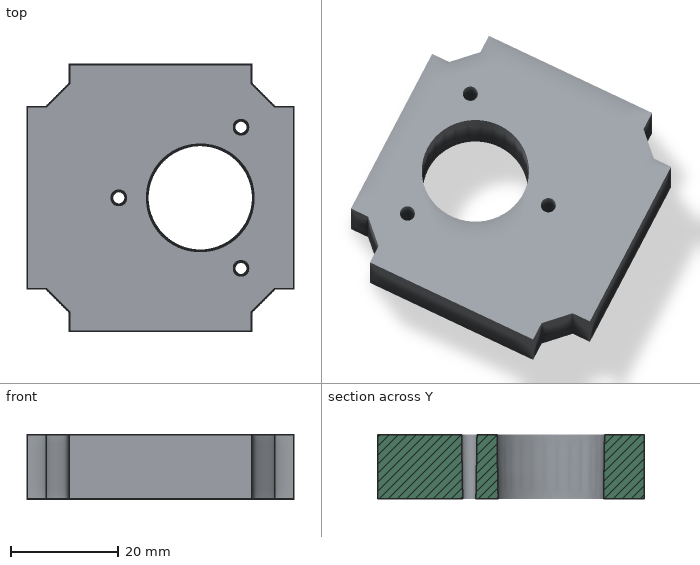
import cadquery as cq
import math

plate_width = 49.8
plate_thickness = 12.0
flat_width = 34.0
notch_step = 3.58

hole_taper = 1.0
bore_top_diameter = 20.0
bore_offset_x = 7.42
screw_top_diameter = 2.8
screw_circle_radius = 15.2
screw_count = 3
first_screw_angle = 180.0


def notched_plate():
    """Square plate, centred on the origin, with a bevelled notch in each corner."""
    edge = plate_width / 2
    flat_end = flat_width / 2
    bevel_end = edge - notch_step
    corner = [
        (edge, edge),
        (flat_end, edge),
        (flat_end, bevel_end),
        (bevel_end, flat_end),
        (edge, flat_end),
    ]
    plate = cq.Workplane("XY").rect(plate_width, plate_width).extrude(plate_thickness)
    for x_sign in (1, -1):
        for y_sign in (1, -1):
            outline = [(x_sign * x, y_sign * y) for x, y in corner]
            notch = cq.Workplane("XY").polyline(outline).close().extrude(plate_thickness)
            plate = plate.cut(notch)
    return plate


def tapered_hole(x, y, top_diameter):
    """Through hole at (x, y), narrowing evenly from the top face to the bottom face."""
    top_radius = top_diameter / 2
    bottom_radius = top_radius - plate_thickness * math.tan(math.radians(hole_taper))
    bottom_centre = cq.Vector(x, y, 0)
    return cq.Workplane(cq.Solid.makeCone(bottom_radius, top_radius, plate_thickness, pnt=bottom_centre))


def bore():
    """Large off-centre bore."""
    return tapered_hole(bore_offset_x, 0, bore_top_diameter)


def screw_holes():
    """Holes evenly spaced on a circle around the bore."""
    holes = cq.Workplane("XY")
    for index in range(screw_count):
        angle = math.radians(first_screw_angle + index * 360 / screw_count)
        x = bore_offset_x + screw_circle_radius * math.cos(angle)
        y = screw_circle_radius * math.sin(angle)
        holes = holes.add(tapered_hole(x, y, screw_top_diameter))
    return holes.combine()


result = notched_plate().cut(bore()).cut(screw_holes())